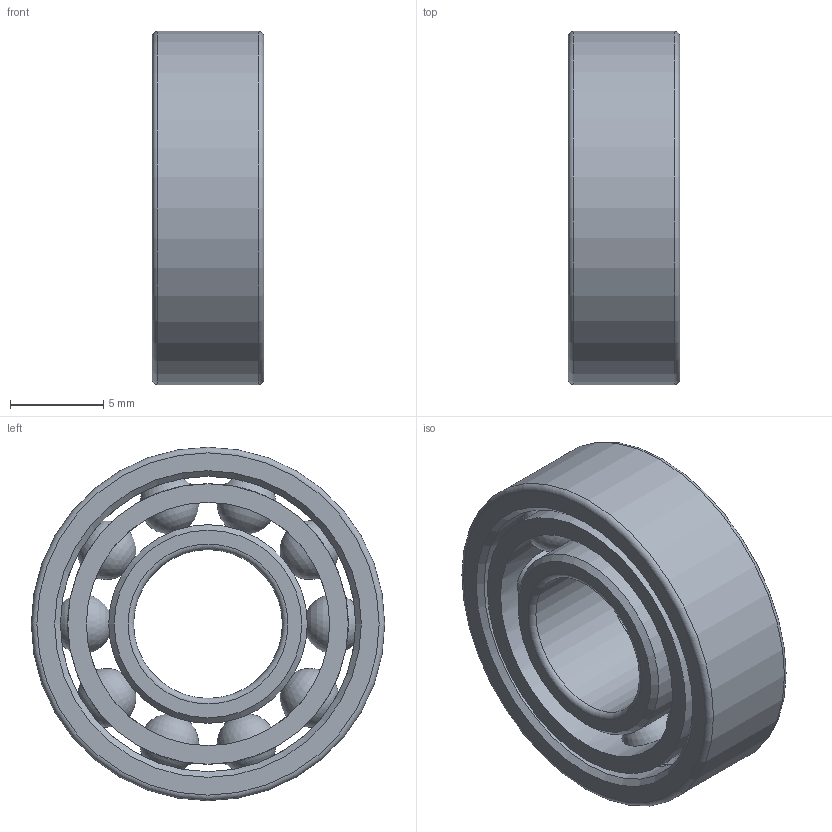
import cadquery as cq


width = 6.0
outer_radius = 19.0 / 2
bore_radius = 8.0 / 2

edge_fillet = 0.3
race_chamfer = 0.3
outer_race_radius = 7.94
inner_race_radius = 5.34

ball_count = 10
ball_radius = 3.175 / 2
pitch_radius = (outer_radius + bore_radius) / 2
cage_width = 5.7
cage_outer_radius = 7.54
cage_inner_radius = 6.54


def tube(outer, inner, length):
    """Plain tube along X, centred on the origin."""
    return (
        cq.Workplane("YZ", origin=(-length / 2, 0, 0))
        .circle(outer)
        .circle(inner)
        .extrude(length)
    )


def ball_groove():
    """Torus swept by the balls as they run around the X axis."""
    return cq.Workplane(cq.Solid.makeTorus(pitch_radius, ball_radius, dir=cq.Vector(1, 0, 0)))


def inside_end_edges(body):
    """Smallest circle on each end face of a tube."""
    return body.faces("<X or >X").edges(cq.selectors.RadiusNthSelector(0))


def outside_end_edges(body):
    """Largest circle on each end face of a tube."""
    return body.faces("<X or >X").edges(cq.selectors.RadiusNthSelector(-1))


def make_outer_ring():
    ring = tube(outer_radius, outer_race_radius, width)
    ring = outside_end_edges(ring).fillet(edge_fillet)
    ring = inside_end_edges(ring).chamfer(race_chamfer)
    return ring.cut(ball_groove())


def make_inner_ring():
    ring = tube(inner_race_radius, bore_radius, width)
    ring = inside_end_edges(ring).fillet(edge_fillet)
    ring = outside_end_edges(ring).chamfer(race_chamfer)
    return ring.cut(ball_groove())


def make_ball_cage():
    """Cage ring with the balls joined to it in one body; one ball lies on the Y axis."""
    cage = tube(cage_outer_radius, cage_inner_radius, cage_width)
    ball = cq.Workplane("XZ", origin=(0, pitch_radius, 0)).sphere(ball_radius)
    for index in range(ball_count):
        angle = index * 360.0 / ball_count
        cage = cage.union(ball.rotate((0, 0, 0), (1, 0, 0), angle))
    return cage


outer_ring = make_outer_ring()
inner_ring = make_inner_ring()
ball_cage = make_ball_cage()

result = cq.Compound.makeCompound([outer_ring.val(), inner_ring.val(), ball_cage.val()])